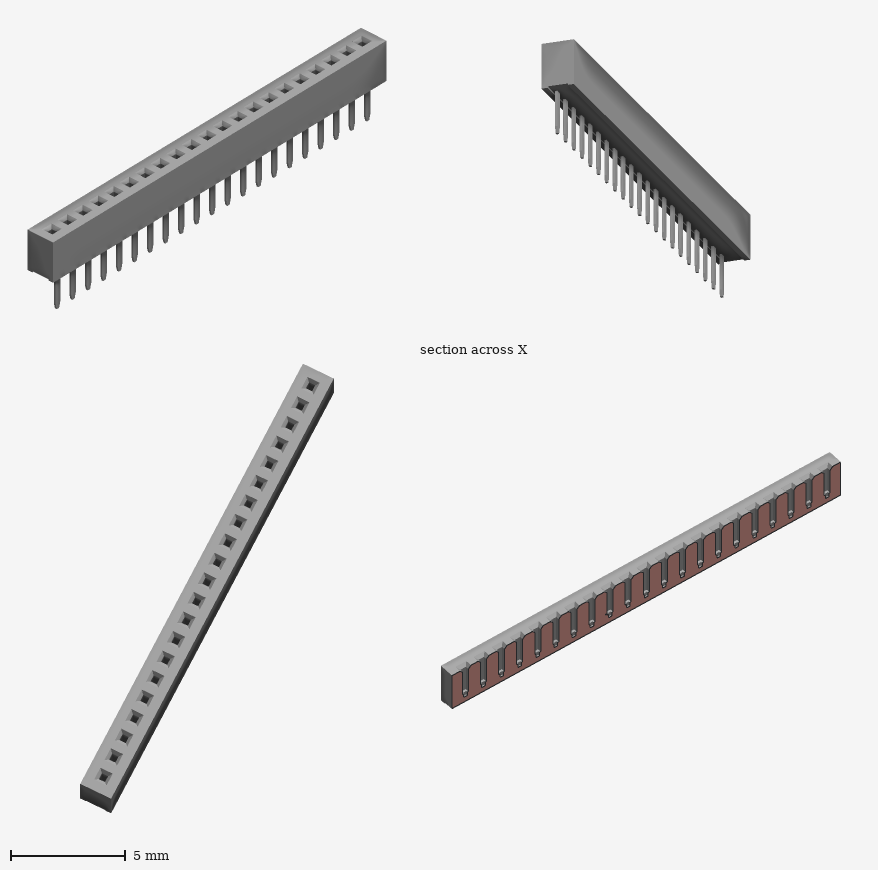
import cadquery as cq

body_width = 1.5
body_length = 21.5
body_height = 2.1
total_height = 4.0

pin_count = 21
end_margin = 0.75
pitch = (body_length - 2 * end_margin) / (pin_count - 1)

channel_width = 0.95
channel_depth = 0.06

mouth_size = 0.6
mouth_depth = 0.15
bore_size = 0.3
bore_depth = 1.5
slot_width = 0.09
slot_length = 0.17
slot_depth = 0.22

pin_offset = 0.3
pin_thickness = 0.1
pin_width = 0.3
tip_width = pin_width / 2
tip_length = 0.3
pin_bottom = body_height - total_height

pin_positions = [end_margin - body_length / 2 + i * pitch for i in range(pin_count)]


def make_body():
    """Housing standing on z = 0, with a channel along its underside."""
    body = cq.Workplane("XY").box(body_width, body_length, body_height, centered=(True, True, False))
    channel = cq.Workplane("XY").box(channel_width, body_length, channel_depth, centered=(True, True, False))
    return body.cut(channel)


def make_socket(y):
    """Volume to be cut from the top face for one socket."""
    mouth = (
        cq.Workplane("XY", origin=(0, y, body_height))
        .rect(mouth_size, mouth_size)
        .workplane(offset=-mouth_depth)
        .rect(bore_size, bore_size)
        .loft()
    )
    bore = (
        cq.Workplane("XY", origin=(0, y, body_height - mouth_depth))
        .rect(bore_size, bore_size)
        .extrude(mouth_depth - bore_depth)
    )
    slot = (
        cq.Workplane("XY", origin=(0, y, body_height - bore_depth))
        .rect(slot_width, slot_length)
        .extrude(-slot_depth)
    )
    return mouth.union(bore).union(slot)


def make_pin(y):
    """Flat pin hanging from the channel roof, with a tip that narrows along Y."""
    outline = [
        (y - pin_width / 2, channel_depth),
        (y - pin_width / 2, pin_bottom + tip_length),
        (y - tip_width / 2, pin_bottom),
        (y + tip_width / 2, pin_bottom),
        (y + pin_width / 2, pin_bottom + tip_length),
        (y + pin_width / 2, channel_depth),
    ]
    pin_side = pin_offset - pin_thickness / 2
    return cq.Workplane("YZ", origin=(pin_side, 0, 0)).polyline(outline).close().extrude(pin_thickness)


result = make_body()
for y in pin_positions:
    result = result.cut(make_socket(y)).union(make_pin(y))